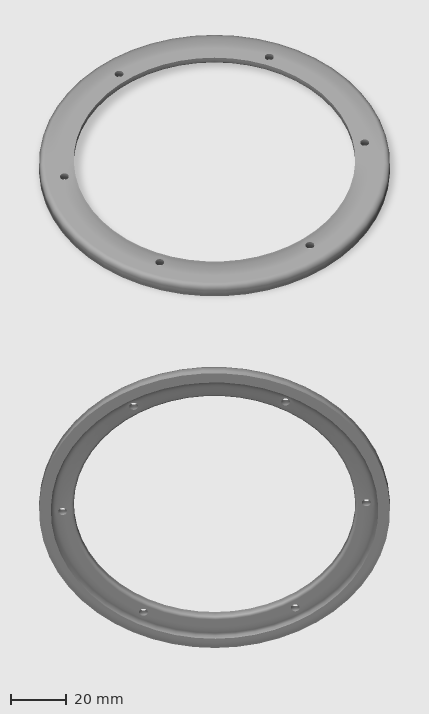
import cadquery as cq

outer_diameter = 126.0
inner_diameter = 101.0
thickness = 5.0
top_edge_radius = 2.0

recess_diameter = 117.5
recess_depth = 2.0
recess_corner_radius = 1.0
lip_edge_radius = 1.0

hole_count = 6
hole_diameter = 3.2
hole_circle_diameter = 109.1


def make_rounded_disc():
    """Solid disc with a rounded outer top edge."""
    disc = cq.Workplane("XY").circle(outer_diameter / 2).extrude(thickness)
    return disc.faces(">Z").edges().fillet(top_edge_radius)


def make_recess():
    """Underside recess cutter with a rounded corner at its roof."""
    recess = cq.Workplane("XY").circle(recess_diameter / 2).extrude(recess_depth)
    return recess.faces(">Z").edges().fillet(recess_corner_radius)


def make_bore():
    """Central through-bore cutter."""
    return cq.Workplane("XY").circle(inner_diameter / 2).extrude(thickness)


def round_lip(ring):
    """Round the lower edge of the bore, where the recess roof meets it."""
    roof_edges = ring.faces(cq.selectors.NearestToPointSelector((0, 0, recess_depth))).edges()
    return roof_edges.edges(cq.selectors.RadiusNthSelector(0)).fillet(lip_edge_radius)


def make_mounting_holes():
    """Through-hole cutters on the hole circle."""
    return (
        cq.Workplane("XY")
        .polarArray(hole_circle_diameter / 2, 0, 360, hole_count)
        .circle(hole_diameter / 2)
        .extrude(thickness)
    )


ring = make_rounded_disc().cut(make_recess()).cut(make_bore())
result = round_lip(ring).cut(make_mounting_holes())